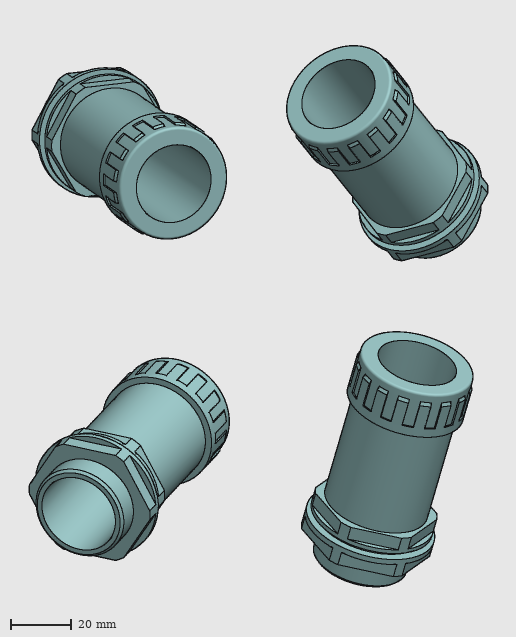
import cadquery as cq
import math


bore_radius = 13.4
spigot_radius = 16.0
spigot_chamfer = 0.9
spigot_chamfer_length = 1.0
collar_radius = 22.0
collar_half_flats = 19.85
neck_radius = 18.85
flange_radius = 20.8
flange_half_flats = 18.9
body_radius = 17.65
cap_radius = 19.9
cap_base_radius = 19.3
cap_end_fillet = 0.9

spigot_end = 8.7
collar_hex_end = 13.55
collar_end = 15.5
flange_start = 17.1
flange_hex_start = 18.6
flange_end = 23.2
cap_start = 62.9
rib_start = 66.25
rib_slope_start = 75.0
rib_end = 76.2
total_length = 79.3

hex_sides = 6

axis_start = (0, 0, 0)
axis_end = (1, 0, 0)

groove_count = 16
groove_pitch = 360 / groove_count
groove_angle = groove_pitch / 2
cutter_clearance = 1.0
cutter_radius = cap_radius + cutter_clearance


def cylinder(start, end, radius):
    """Solid cylinder along X between two stations."""
    return cq.Workplane("YZ", origin=(start, 0, 0)).circle(radius).extrude(end - start)


def hexagon(start, end, half_flats, corner_radius):
    """Hexagonal nut with flats facing +Z and -Z and its corners rounded to a cylinder."""
    corner_diameter = 2 * half_flats / math.cos(math.pi / hex_sides)
    prism = (
        cq.Workplane("YZ", origin=(start, 0, 0))
        .polygon(hex_sides, corner_diameter)
        .extrude(end - start)
    )
    return prism.intersect(cylinder(start, end, corner_radius))


def spigot():
    """Plain spigot with a chamfered mouth."""
    blank = cylinder(0, spigot_end, spigot_radius)
    return blank.faces("<X").edges().chamfer(spigot_chamfer_length, spigot_chamfer)


def collar():
    """Hexagon backed by a round collar."""
    nut = hexagon(spigot_end, collar_hex_end, collar_half_flats, collar_radius)
    return nut.union(cylinder(collar_hex_end, collar_end, collar_radius))


def flange():
    """Round flange followed by a smaller hexagon."""
    nut = hexagon(flange_hex_start, flange_end, flange_half_flats, flange_radius)
    return nut.union(cylinder(flange_start, flange_hex_start, flange_radius))


def groove():
    """Cutter for one gap between grip ribs: a sector of a ring centred on the -Y direction."""
    sector = (
        cq.Workplane("XY")
        .moveTo(rib_start, -cap_base_radius)
        .lineTo(rib_end, -cap_base_radius)
        .lineTo(rib_end, -cutter_radius)
        .lineTo(rib_start, -cutter_radius)
        .close()
        .revolve(groove_angle, axis_start, axis_end)
    )
    return sector.rotate(axis_start, axis_end, -groove_angle / 2)


def cap():
    """Gripping cap: a plain ring, then a ribbed stretch sloping down to a smaller rounded end."""
    blank = (
        cq.Workplane("XY")
        .moveTo(cap_start, 0)
        .lineTo(cap_start, cap_radius)
        .lineTo(rib_slope_start, cap_radius)
        .lineTo(rib_end, cap_base_radius)
        .lineTo(total_length, cap_base_radius)
        .lineTo(total_length, 0)
        .close()
        .revolve(360, axis_start, axis_end)
    )
    blank = blank.faces(">X").edges().fillet(cap_end_fillet)
    one_groove = groove()
    for index in range(groove_count):
        blank = blank.cut(one_groove.rotate(axis_start, axis_end, index * groove_pitch))
    return blank


outside = (
    spigot()
    .union(collar())
    .union(cylinder(collar_end, flange_start, neck_radius))
    .union(flange())
    .union(cylinder(flange_end, cap_start, body_radius))
    .union(cap())
)
result = outside.cut(cylinder(0, total_length, bore_radius))